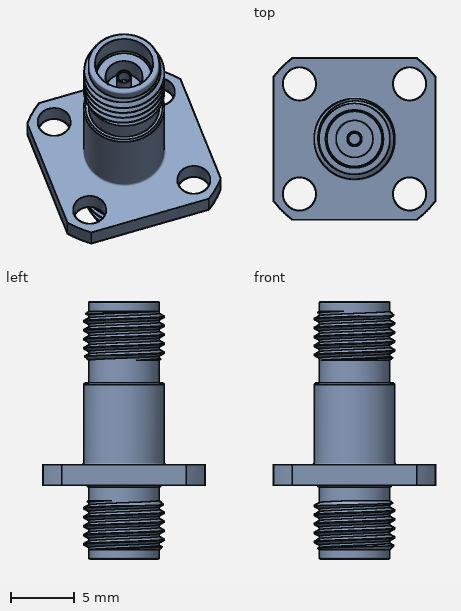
import cadquery as cq
import math

length = 20.17
barrel_radius = 2.78
edge_round = 0.15

flange_side = 12.7
flange_corner_diameter = 16.01
flange_bottom = 5.77
flange_thickness = 1.63
flange_top = flange_bottom + flange_thickness
hole_spacing = 8.63
hole_diameter = 2.58

body_radius = 3.17
body_top = 13.82

thread_radius = body_radius
thread_pitch = 0.7
thread_length = 3.83
thread_end_gap = 0.75
thread_crest_width = 0.06
thread_flank_angle = 30.0
thread_overlap = 0.08
thread_phase = 0.06

bore_radius = 2.28
bore_depth = 1.92
bore_floor_bevel = 0.12
cavity_radius = 1.45
cavity_depth = 3.83
contact_radius = 0.58
contact_hole_radius = 0.46
contact_hole_depth = 1.21
contact_countersink = 0.1


def cylinder(radius, bottom, top):
    """Upright cylinder on the main axis."""
    return cq.Workplane("XY").workplane(offset=bottom).circle(radius).extrude(top - bottom)


def revolve_profile(profile):
    """Full turn of a half section about the main axis."""
    return profile.revolve(360, (0, 0, 0), (0, 1, 0))


def at_other_end(shape):
    """Turn a feature of the upper end over to the lower end."""
    middle = length / 2
    return shape.rotate((0, 0, middle), (1, 0, middle), 180)


def make_flange():
    plate = (
        cq.Workplane("XY")
        .workplane(offset=flange_bottom)
        .rect(flange_side, flange_side)
        .extrude(flange_thickness)
    )
    plate = plate.intersect(cylinder(flange_corner_diameter / 2, flange_bottom, flange_top))
    return (
        plate.faces(">Z")
        .workplane(origin=(0, 0, flange_top))
        .rect(hole_spacing, hole_spacing, forConstruction=True)
        .vertices()
        .hole(hole_diameter)
    )


def make_barrel():
    """Turned core with the body, rounded ends, a bevel under the flange and a fillet above it."""
    fillet_middle = edge_round * (1 - math.sqrt(0.5))
    body_foot = flange_top + edge_round
    neck_foot = flange_bottom - edge_round
    barrel_profile = (
        cq.Workplane("XZ")
        .lineTo(barrel_radius - edge_round, 0)
        .radiusArc((barrel_radius, edge_round), -edge_round)
        .lineTo(barrel_radius, neck_foot)
        .lineTo(barrel_radius + edge_round, flange_bottom)
        .lineTo(body_radius + edge_round, flange_bottom)
        .lineTo(body_radius + edge_round, flange_top)
        .threePointArc(
            (body_radius + fillet_middle, flange_top + fillet_middle),
            (body_radius, body_foot),
        )
        .lineTo(body_radius, body_top - edge_round)
        .lineTo(body_radius - edge_round, body_top)
        .lineTo(barrel_radius, body_top)
        .lineTo(barrel_radius, length - edge_round)
        .radiusArc((barrel_radius - edge_round, length), -edge_round)
        .lineTo(0, length)
        .close()
    )
    return revolve_profile(barrel_profile)


def make_thread():
    """Right-hand V thread of the upper end, run out by 45 degree cones."""
    thread_top = length - thread_end_gap
    thread_bottom = thread_top - thread_length
    root_radius = barrel_radius - thread_overlap
    ridge_height = thread_radius - root_radius
    crest_half = thread_crest_width / 2
    root_half = crest_half + ridge_height * math.tan(math.radians(thread_flank_angle))

    helix_bottom = thread_bottom + thread_phase - thread_pitch
    helix_turns = math.ceil(thread_length / thread_pitch) + 1
    helix = cq.Wire.makeHelix(
        thread_pitch, helix_turns * thread_pitch, root_radius, cq.Vector(0, 0, helix_bottom)
    )
    ridge = (
        cq.Workplane("XZ", origin=(0, 0, helix_bottom))
        .moveTo(root_radius, -root_half)
        .lineTo(thread_radius, -crest_half)
        .lineTo(thread_radius, crest_half)
        .lineTo(root_radius, root_half)
        .close()
        .sweep(cq.Workplane(helix), isFrenet=True)
    )

    envelope_radius = barrel_radius + ridge_height
    envelope = (
        cylinder(envelope_radius, thread_bottom, thread_top)
        .faces("<Z or >Z")
        .chamfer(ridge_height)
    )
    return envelope.intersect(ridge)


def make_socket():
    """Hollow of the upper end, leaving the slim drilled centre contact standing."""
    bore_floor = length - bore_depth
    cavity_floor = length - cavity_depth
    countersink_radius = contact_hole_radius + contact_countersink
    socket_profile = (
        cq.Workplane("XZ")
        .moveTo(0, length)
        .lineTo(bore_radius, length)
        .lineTo(bore_radius, bore_floor + bore_floor_bevel)
        .lineTo(bore_radius - bore_floor_bevel, bore_floor)
        .lineTo(cavity_radius, bore_floor)
        .lineTo(cavity_radius, cavity_floor)
        .lineTo(contact_radius, cavity_floor)
        .lineTo(contact_radius, bore_floor)
        .lineTo(countersink_radius, bore_floor)
        .lineTo(contact_hole_radius, bore_floor - contact_countersink)
        .lineTo(contact_hole_radius, bore_floor - contact_hole_depth)
        .lineTo(0, bore_floor - contact_hole_depth)
        .close()
    )
    return revolve_profile(socket_profile)


thread = make_thread()
socket = make_socket()

result = make_flange().union(make_barrel())
result = result.union(thread).union(at_other_end(thread))
result = result.cut(socket).cut(at_other_end(socket))